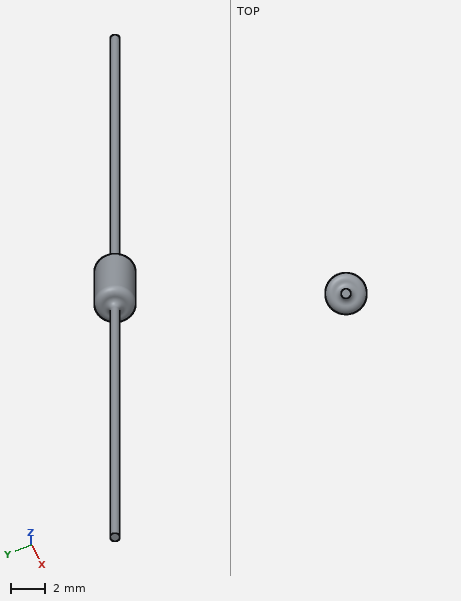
import cadquery as cq

overall_length = 55.88
body_diameter = 2.41
body_length = 4.32
body_edge_radius = 0.45
lead_diameter = 0.56
lead_root_radius = 0.38


def centred_cylinder(diameter, length):
    """Cylinder along Z, centred on the origin."""
    return cq.Workplane("XY", origin=(0, 0, -length / 2)).circle(diameter / 2).extrude(length)


def rounded_body():
    """Body with both of its end rims rounded."""
    return centred_cylinder(body_diameter, body_length).edges("%CIRCLE").fillet(body_edge_radius)


def lead_root_at(height):
    """Selector for the circle where the lead meets the body's end face at this height."""
    reach = lead_root_radius / 2
    return cq.selectors.RadiusNthSelector(0) & cq.selectors.BoxSelector(
        (-reach, -reach, height - reach),
        (reach, reach, height + reach),
    )


lead = centred_cylinder(lead_diameter, overall_length)
lead_roots = lead_root_at(body_length / 2) + lead_root_at(-body_length / 2)
result = rounded_body().union(lead).edges(lead_roots).fillet(lead_root_radius)